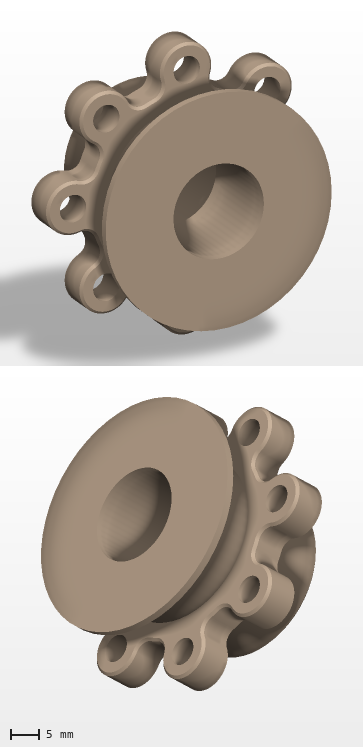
import cadquery as cq

total_length = 31.75
boss_length = 12.7
plate_thickness = 6.35
flange_thickness = 2.0
plate_end = boss_length + plate_thickness
flange_start = total_length - flange_thickness

boss_radius = 15.05
hub_radius = 15.7
flange_radius = 22.35
bore_radius = 8.95
counterbore_radius = 11.1
counterbore_depth = boss_length
edge_chamfer = 0.5

outer_radius = 27.6
lobe_count = 8
lobe_radius = 5.1
lobe_circle_radius = outer_radius - lobe_radius
root_radius = 19.0
root_fillet = 2.55
lobe_hole_radius = 2.6


def cylinder(start, length, radius):
    """Solid cylinder on the X axis, from X = start to X = start + length."""
    return cq.Workplane("YZ", origin=(start, 0, 0)).circle(radius).extrude(length)


def lobe_cylinders(radius):
    """Ring of cylinders through the plate thickness, one on each lobe centre."""
    return (
        cq.Workplane("YZ", origin=(boss_length, 0, 0))
        .polarArray(lobe_circle_radius, 0, 360, lobe_count)
        .circle(radius)
        .extrude(plate_thickness)
    )


def make_plate():
    """Disc with round lobes blended into its rim, chamfered on the flange side."""
    plate = cylinder(boss_length, plate_thickness, root_radius)
    plate = plate.union(lobe_cylinders(lobe_radius))
    plate = plate.edges("|X").fillet(root_fillet)
    plate = plate.faces(">X").chamfer(edge_chamfer)
    return plate.cut(lobe_cylinders(lobe_hole_radius))


boss = cylinder(0, boss_length, boss_radius).faces("<X").chamfer(edge_chamfer)
hub = cylinder(plate_end, flange_start - plate_end, hub_radius)
flange = cylinder(flange_start, flange_thickness, flange_radius).faces("<X").chamfer(edge_chamfer)

body = boss.union(make_plate()).union(hub).union(flange)
bore = cylinder(0, total_length, bore_radius)
counterbore = cylinder(0, counterbore_depth, counterbore_radius)

result = body.cut(bore).cut(counterbore)